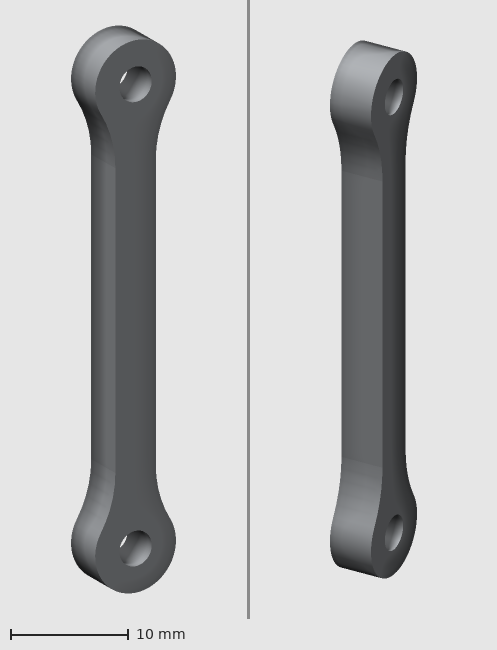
import cadquery as cq
import math

length = 50.0
thickness = 4.0
eye_radius = 4.0
bar_width = 4.0
neck_radius = 10.0
hole_diameter = 3.2

eye_z = length / 2 - eye_radius
half_bar = bar_width / 2
neck_center_y = half_bar + neck_radius
center_distance = eye_radius + neck_radius
neck_drop = math.sqrt(center_distance**2 - neck_center_y**2)
neck_z = eye_z - neck_drop

tangent_ratio = eye_radius / center_distance
tangent_y = neck_center_y * tangent_ratio
tangent_z = eye_z - neck_drop * tangent_ratio


def link_outline():
    """Bar with a round eye at each end, joined by tangent concave necks."""
    return (
        cq.Workplane("YZ")
        .moveTo(half_bar, -neck_z)
        .lineTo(half_bar, neck_z)
        .radiusArc((tangent_y, tangent_z), neck_radius)
        .threePointArc((0, length / 2), (-tangent_y, tangent_z))
        .radiusArc((-half_bar, neck_z), neck_radius)
        .lineTo(-half_bar, -neck_z)
        .radiusArc((-tangent_y, -tangent_z), neck_radius)
        .threePointArc((0, -length / 2), (tangent_y, -tangent_z))
        .radiusArc((half_bar, -neck_z), neck_radius)
        .close()
    )


link = link_outline().extrude(thickness / 2, both=True)

pins = (
    cq.Workplane("YZ")
    .pushPoints([(0, eye_z), (0, -eye_z)])
    .circle(hole_diameter / 2)
    .extrude(thickness, both=True)
)

result = link.cut(pins)